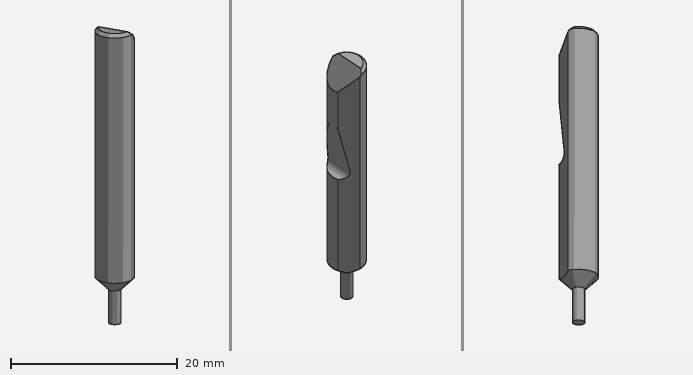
import cadquery as cq
import math

total_length = 38.1
shank_radius = 2.38
neck_radius = 0.75
tip_height = 0.3
neck_top = 4.6
end_chamfer = 0.42
shoulder_height = shank_radius - neck_radius

flat_distance = 2.0
flat_normal_angle = 142.0

bevel_edge_y = -0.5

notch_bottom = 21.1
notch_top = 29.9
notch_taper = 9.6
notch_radius = 1.0

cutter_width = 3 * shank_radius


def make_blank():
    """Round tool with a pointed tip, slim neck, conical shoulder and shank."""
    return (
        cq.Workplane("XZ")
        .moveTo(0, 0)
        .lineTo(neck_radius, tip_height)
        .lineTo(neck_radius, neck_top)
        .lineTo(shank_radius, neck_top + shoulder_height)
        .lineTo(shank_radius, total_length - end_chamfer)
        .lineTo(shank_radius - end_chamfer, total_length)
        .lineTo(0, total_length)
        .close()
        .revolve(360, (0, 0, 0), (0, 1, 0))
    )


def make_flat_cutter():
    """Full-length block whose inner face forms the flat."""
    return (
        cq.Workplane("XY")
        .box(cutter_width, cutter_width, total_length, centered=(False, True, False))
        .translate((flat_distance, 0, 0))
        .rotate((0, 0, 0), (0, 0, 1), flat_normal_angle)
    )


def make_bevel_cutter():
    """Triangular prism above the 45 degree end bevel."""
    bevel_run = cutter_width
    return (
        cq.Workplane("YZ")
        .moveTo(bevel_edge_y, total_length)
        .lineTo(bevel_edge_y + bevel_run, total_length - bevel_run)
        .lineTo(bevel_edge_y + bevel_run, total_length)
        .close()
        .extrude(cutter_width / 2, both=True)
    )


def make_notch_cutter():
    """Triangular prism with a rounded inner corner, open towards +Y."""
    slope = math.tan(math.radians(notch_taper))
    corner_y = shank_radius - (notch_top - notch_bottom) * slope
    outer_y = 2 * shank_radius
    outer_top = notch_top + (outer_y - shank_radius) / slope
    return (
        cq.Workplane("YZ")
        .moveTo(corner_y, notch_bottom)
        .lineTo(outer_y, notch_bottom)
        .lineTo(outer_y, outer_top)
        .close()
        .extrude(cutter_width / 2, both=True)
        .edges("|X and <Y")
        .fillet(notch_radius)
    )


result = (
    make_blank()
    .cut(make_flat_cutter())
    .cut(make_bevel_cutter())
    .cut(make_notch_cutter())
)